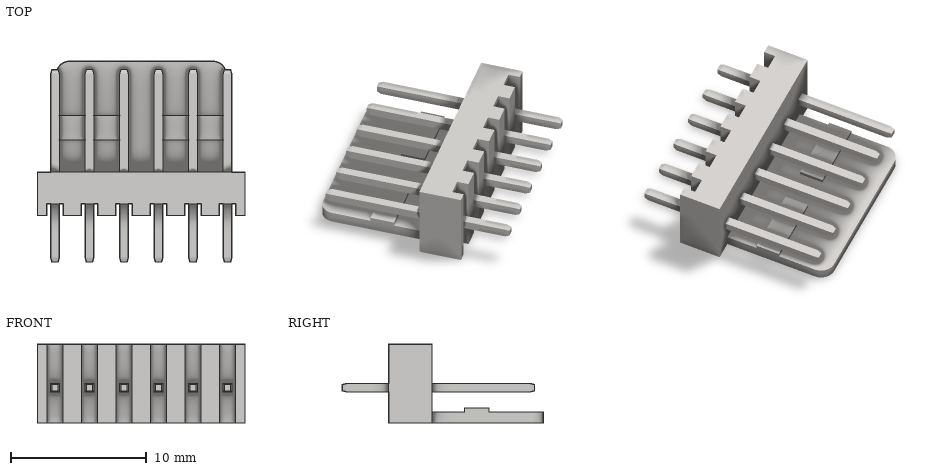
import cadquery as cq

PIN_COUNT = 6
PITCH = 2.54
PIN_SIZE = 0.64
PIN_TIP_SIZE = 0.46
PIN_TIP_LENGTH = 0.32
PIN_HEIGHT = 2.6
PIN_FRONT_REACH = 3.42
PIN_REAR_REACH = 7.55

BODY_WIDTH = 15.3
BODY_DEPTH = 3.2
BODY_HEIGHT = 5.8
SLOT_WIDTH = 1.2
SLOT_DEPTH = 0.88

OVERALL_DEPTH = 14.8
PLATE_WIDTH = 12.6
PLATE_LENGTH = OVERALL_DEPTH - PIN_FRONT_REACH - BODY_DEPTH
PLATE_THICKNESS = 0.83
PLATE_CORNER_RADIUS = 1.07

LATCH_GAP = PITCH
LATCH_DEPTH = 1.81
LATCH_HEIGHT = 0.28
LATCH_OFFSET = 2.38

PIN_XS = [(i - (PIN_COUNT - 1) / 2) * PITCH for i in range(PIN_COUNT)]


def box(x_min, y_min, z_min, width, depth, height):
    """Box given by its minimum corner and its sizes along X, Y and Z."""
    return cq.Workplane("XY").box(width, depth, height, centered=False).translate((x_min, y_min, z_min))


def make_body():
    """Rectangular body with a full-height front slot around each pin."""
    body = box(-BODY_WIDTH / 2, 0, 0, BODY_WIDTH, BODY_DEPTH, BODY_HEIGHT)
    for x in PIN_XS:
        body = body.cut(box(x - SLOT_WIDTH / 2, 0, 0, SLOT_WIDTH, SLOT_DEPTH, BODY_HEIGHT))
    return body


def make_plate():
    """Flat plate with rounded rear corners."""
    plate = box(-PLATE_WIDTH / 2, BODY_DEPTH, 0, PLATE_WIDTH, PLATE_LENGTH, PLATE_THICKNESS)
    return plate.edges("|Z and >Y").fillet(PLATE_CORNER_RADIUS)


def make_latch_bar(x_min):
    """Raised bar on the plate, reaching from the central gap to a side edge."""
    bar_width = (PLATE_WIDTH - LATCH_GAP) / 2
    return box(x_min, BODY_DEPTH + LATCH_OFFSET, PLATE_THICKNESS, bar_width, LATCH_DEPTH, LATCH_HEIGHT)


def make_pin_tip(y_base, direction):
    """Tapered square tip that narrows from y_base along +Y (1) or -Y (-1)."""
    plane = cq.Plane(origin=(0, y_base, PIN_HEIGHT), xDir=(1, 0, 0), normal=(0, direction, 0))
    return (
        cq.Workplane(plane)
        .rect(PIN_SIZE, PIN_SIZE)
        .workplane(offset=PIN_TIP_LENGTH)
        .rect(PIN_TIP_SIZE, PIN_TIP_SIZE)
        .loft(ruled=True)
    )


def make_pin():
    """Straight square pin at X = 0 with a tapered tip at both ends."""
    shank_front = -PIN_FRONT_REACH + PIN_TIP_LENGTH
    shank_rear = BODY_DEPTH + PIN_REAR_REACH - PIN_TIP_LENGTH
    shank = box(
        -PIN_SIZE / 2,
        shank_front,
        PIN_HEIGHT - PIN_SIZE / 2,
        PIN_SIZE,
        shank_rear - shank_front,
        PIN_SIZE,
    )
    return shank.union(make_pin_tip(shank_front, -1)).union(make_pin_tip(shank_rear, 1))


result = make_body().union(make_plate())
for latch_x_min in (-PLATE_WIDTH / 2, LATCH_GAP / 2):
    result = result.union(make_latch_bar(latch_x_min))

pin = make_pin()
for pin_x in PIN_XS:
    result = result.union(pin.translate((pin_x, 0, 0)))

result = result.clean()